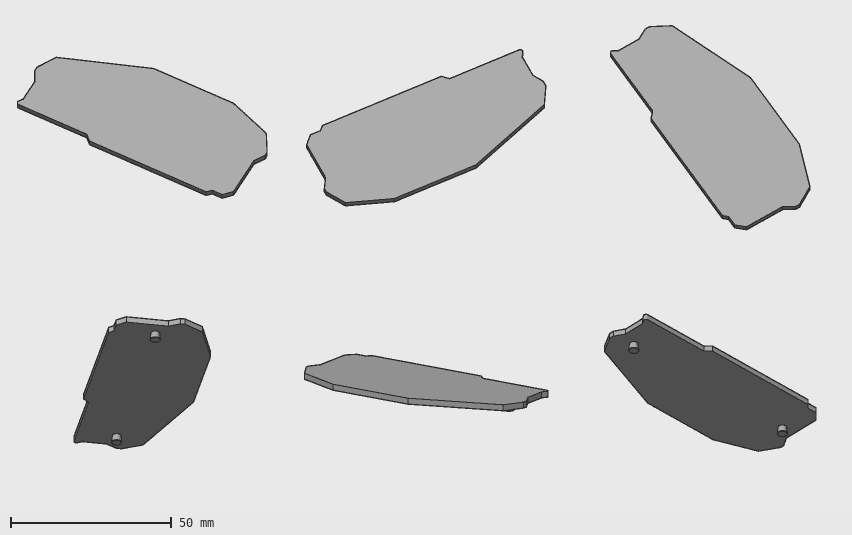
import cadquery as cq

plate_length = 78.5
plate_width = 33.9
plate_thickness = 2.0
total_height = 4.5

left_side_x = 2.0
right_side_x = 76.4
left_step_x = 25.8
left_step_y = 1.9
right_step_x = 70.3
right_step_y = 1.4
lower_right_chamfer = (73.8, 4.15)

foot_tip_x = 0.2
foot_top_y = 4.5
foot_radius = 0.8

left_nose_flat = (15.6, 17.3)
left_neck_y = 12.1
right_nose_flat = (20.95, 22.4)
right_neck_y = 17.5

left_shoulder = (3.5, 23.4)
right_shoulder = (74.9, 28.6)
top_left_x = 32.3
top_right_x = 60.45

peg_centers = [(7.5, 14.3), (71.5, 14.3)]
peg_root_diameter = 2.75
peg_tip_diameter = 3.2
peg_tip_chamfer = 0.15
peg_height = total_height - plate_thickness


def make_plate():
    """Flat plate with a blunt nose at each end and a rounded foot at the lower left."""
    chamfer_x, chamfer_y = lower_right_chamfer
    left_nose_bottom, left_nose_top = left_nose_flat
    right_nose_bottom, right_nose_top = right_nose_flat
    outline = [
        (foot_tip_x, left_step_y),
        (left_step_x, left_step_y),
        (left_step_x + left_step_y, 0),
        (right_step_x - right_step_y, 0),
        (right_step_x, right_step_y),
        (chamfer_x, right_step_y),
        (right_side_x, chamfer_y),
        (right_side_x, right_neck_y),
        (plate_length, right_nose_bottom),
        (plate_length, right_nose_top),
        right_shoulder,
        (top_right_x, plate_width),
        (top_left_x, plate_width),
        left_shoulder,
        (0, left_nose_top),
        (0, left_nose_bottom),
        (left_side_x, left_neck_y),
        (left_side_x, foot_top_y),
    ]
    plate = cq.Workplane("XY").polyline(outline).close().extrude(plate_thickness)
    foot_tip = cq.selectors.NearestToPointSelector((foot_tip_x, left_step_y, plate_thickness / 2))
    return plate.edges("|Z").edges(foot_tip).fillet(foot_radius)


def make_peg(center):
    """One tapered peg below the plate, with a chamfered tip."""
    x, y = center
    peg = cq.Solid.makeCone(
        peg_root_diameter / 2,
        peg_tip_diameter / 2,
        peg_height,
        pnt=cq.Vector(x, y, 0),
        dir=cq.Vector(0, 0, -1),
    )
    return cq.Workplane(peg).faces("<Z").edges().chamfer(peg_tip_chamfer)


result = make_plate()
for peg_center in peg_centers:
    result = result.union(make_peg(peg_center))